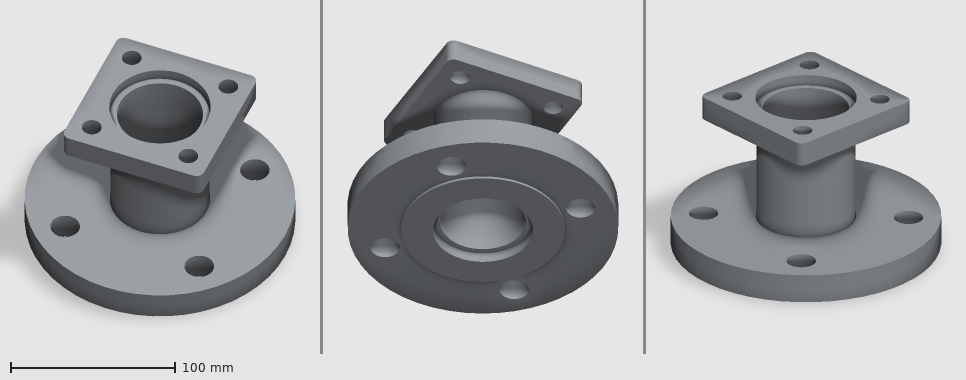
import cadquery as cq

total_height = 100.0

flange_diameter = 165.0
flange_height = 20.0
raised_face_diameter = 100.0
raised_face_height = 1.6
flange_hole_diameter = 18.0
flange_hole_spacing = 88.5

plate_side = 92.0
plate_thickness = 15.0
plate_corner_radius = 5.0
plate_hole_diameter = 12.0
plate_hole_spacing = 63.7

pipe_outer_diameter = 60.4
pipe_inner_diameter = 52.5
flange_socket_diameter = 61.2
plate_socket_diameter = 61.9
pipe_end_setback = 6.5

plate_bottom = total_height - plate_thickness
pipe_bottom = pipe_end_setback
pipe_top = total_height - pipe_end_setback


def cylinder(diameter, bottom, top):
    """Upright cylinder on the Z axis between two heights."""
    return cq.Workplane("XY").workplane(offset=bottom).circle(diameter / 2).extrude(top - bottom)


def drill_square_pattern(body, spacing, diameter):
    """Drill four through holes at the corners of a centred square."""
    return (
        body.faces(">Z")
        .workplane(origin=(0, 0, 0))
        .rect(spacing, spacing, forConstruction=True)
        .vertices()
        .hole(diameter)
    )


def make_round_flange():
    disc = cylinder(flange_diameter, raised_face_height, flange_height)
    raised_face = cylinder(raised_face_diameter, 0, raised_face_height)
    socket = cylinder(flange_socket_diameter, 0, flange_height)
    flange = disc.union(raised_face).cut(socket)
    return drill_square_pattern(flange, flange_hole_spacing, flange_hole_diameter)


def make_pipe():
    outside = cylinder(pipe_outer_diameter, pipe_bottom, pipe_top)
    bore = cylinder(pipe_inner_diameter, pipe_bottom, pipe_top)
    return outside.cut(bore)


def make_square_flange():
    plate = (
        cq.Workplane("XY")
        .workplane(offset=plate_bottom)
        .rect(plate_side, plate_side)
        .extrude(plate_thickness)
        .edges("|Z")
        .fillet(plate_corner_radius)
    )
    plate = plate.cut(cylinder(plate_socket_diameter, plate_bottom, total_height))
    return drill_square_pattern(plate, plate_hole_spacing, plate_hole_diameter)


round_flange = make_round_flange()
pipe = make_pipe()
square_flange = make_square_flange()

result = cq.Compound.makeCompound([round_flange.val(), pipe.val(), square_flange.val()])